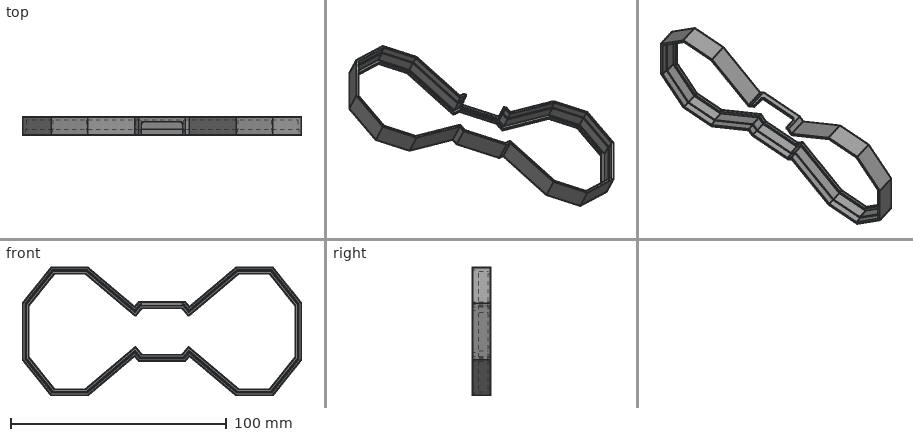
import cadquery as cq
import math

length = 129.2
height = 59.3
depth = 8.5
side_half_height = 13.0
lobe_outer_x = 51.3
lobe_inner_x = 34.4
valley_x = 12.7
valley_z = 11.4
bridge_half_length = 10.7
bridge_z = 13.7

front_wall = 1.2
rear_wall = 1.7
lip_width = 3.0
front_step_depth = 2.8
lip_thickness = 1.3

slot_length = 19.0
slot_depth = 6.2
slot_corner_radius = 1.0

front_y = -depth / 2
back_y = depth / 2


def mitred_inset(points, inset):
    """Counterclockwise polygon moved inward by inset, keeping sharp corners."""
    moved = []
    for i, (x, z) in enumerate(points):
        before_x, before_z = points[i - 1]
        after_x, after_z = points[(i + 1) % len(points)]
        angle_in = math.atan2(z - before_z, x - before_x)
        angle_out = math.atan2(after_z - z, after_x - x)
        normal = (angle_in + angle_out + math.pi) / 2
        reach = inset / math.cos((angle_out - angle_in) / 2)
        moved.append((x + reach * math.cos(normal), z + reach * math.sin(normal)))
    return moved


def bow_tie(inset, start_y, end_y):
    """Solid of the outline moved inward by inset, between two Y positions."""
    quarter = [
        (length / 2, side_half_height),
        (lobe_outer_x, height / 2),
        (lobe_inner_x, height / 2),
        (valley_x, valley_z),
        (bridge_half_length, bridge_z),
    ]
    upper = quarter + [(-x, z) for x, z in reversed(quarter)]
    lower = [(x, -z) for x, z in reversed(upper)]
    outline = mitred_inset(upper + lower, inset)
    sketch = cq.Workplane("XZ", origin=(0, start_y, 0)).polyline(outline).close()
    return sketch.extrude(start_y - end_y)


def bridge_slot():
    """Cutter for the slot in the upper bridge wall."""
    return (
        cq.Workplane("XY")
        .box(slot_length, slot_depth, bridge_z, centered=(True, False, False))
        .translate((0, front_y, 0))
        .edges("|Z and >Y")
        .fillet(slot_corner_radius)
    )


step_y = front_y + front_step_depth
lip_y = back_y - lip_thickness

result = (
    bow_tie(0, front_y, back_y)
    .cut(bow_tie(front_wall, front_y, step_y))
    .cut(bow_tie(rear_wall, step_y, lip_y))
    .cut(bow_tie(lip_width, lip_y, back_y))
    .cut(bridge_slot())
)